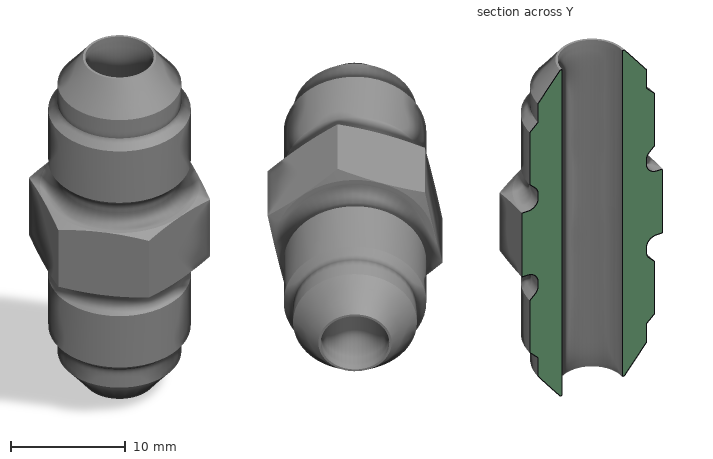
import cadquery as cq
import math

length = 34.8
bore_diameter = 6.0
tip_diameter = 6.4
neck_diameter = 10.82
thread_diameter = 12.45
cone_height = 2.85
nose_end = 4.85
thread_end = 11.25
relief_radius = 1.0
hex_height = 6.85
hex_across_flats = 14.0
hex_flat_circle = 13.92
hex_chamfer_drop = 0.35

bore_r = bore_diameter / 2
tip_r = tip_diameter / 2
neck_r = neck_diameter / 2
thread_r = thread_diameter / 2
flat_circle_r = hex_flat_circle / 2
hex_corner_diameter = hex_across_flats / math.cos(math.radians(30))
hex_corner_r = hex_corner_diameter / 2
tip_z = length / 2
hex_top = hex_height / 2
thread_top = tip_z - nose_end - (thread_r - neck_r)
thread_bottom = tip_z - thread_end


def relief_arc_point(angle):
    """Point (r, z) on the upper relief fillet, measured in degrees from its neck tangency."""
    a = math.radians(angle)
    r = neck_r + relief_radius * (1 - math.cos(a))
    return r, upper_arc_z + relief_radius * math.sin(a)


runout_r = neck_r + relief_radius * (1 - math.cos(math.radians(45)))
runout_z = thread_bottom - (thread_r - runout_r)
upper_arc_z = runout_z - relief_radius * math.sin(math.radians(45))

lower_arc_z = hex_top + relief_radius
lower_arc_inset = relief_radius * (1 - math.cos(math.radians(45)))


def fitting_end():
    """Upper flared end as a solid of revolution, rooted at the middle of the part."""
    profile = (
        cq.Workplane("XZ")
        .moveTo(0, 0)
        .lineTo(neck_r + relief_radius, 0)
        .lineTo(neck_r + relief_radius, hex_top)
        .threePointArc((neck_r + lower_arc_inset, hex_top + lower_arc_inset), (neck_r, lower_arc_z))
        .lineTo(neck_r, upper_arc_z)
        .threePointArc(relief_arc_point(22.5), relief_arc_point(45))
        .lineTo(thread_r, thread_bottom)
        .lineTo(thread_r, thread_top)
        .lineTo(neck_r, tip_z - nose_end)
        .lineTo(neck_r, tip_z - cone_height)
        .lineTo(tip_r, tip_z)
        .lineTo(0, tip_z)
        .close()
    )
    return profile.revolve(360, (0, 0, 0), (0, 1, 0))


def chamfered_hexagon():
    """Wrench hexagon with corners on the Y axis, chamfered conically on both faces."""
    prism = (
        cq.Workplane("XY")
        .polygon(6, hex_corner_diameter)
        .extrude(hex_top, both=True)
        .rotate((0, 0, 0), (0, 0, 1), 30)
    )
    shoulder_z = hex_top - hex_chamfer_drop
    envelope = (
        cq.Workplane("XZ")
        .polyline([
            (0, -hex_top),
            (flat_circle_r, -hex_top),
            (hex_corner_r, -shoulder_z),
            (hex_corner_r, shoulder_z),
            (flat_circle_r, hex_top),
            (0, hex_top),
        ])
        .close()
        .revolve(360, (0, 0, 0), (0, 1, 0))
    )
    return prism.intersect(envelope)


upper_end = fitting_end()
lower_end = upper_end.mirror("XY")
bore = cq.Workplane("XY").circle(bore_r).extrude(tip_z, both=True)

result = chamfered_hexagon().union(upper_end).union(lower_end).cut(bore)